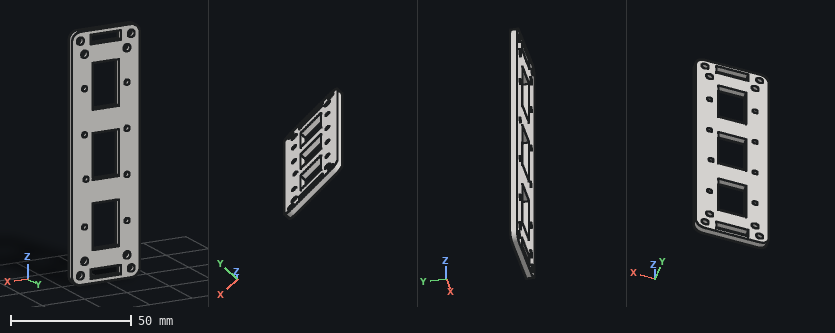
import cadquery as cq

LENGTH = 110.0
WIDTH = 32.0
THICKNESS = 3.0
CORNER_RADIUS = 4.0

WINDOW_WIDTH = 12.3
WINDOW_HEIGHT = 20.2
WINDOW_PITCH = 30.5

SLOT_WIDTH = 14.2
SLOT_HEIGHT = 4.1
END_Z = 50.9

LARGE_DIAMETER = 3.1
CORNER_HOLE_X = 12.0
INNER_HOLE_X = 10.0
INNER_HOLE_Z = 45.0

SMALL_DIAMETER = 2.2
SMALL_OUTER_Z = 30.0
SMALL_INNER_Z = 10.0
OFFSET_HOLE = (9.4, -9.4)


def mirrored(x, z):
    """Four points symmetric about both centre lines."""
    return [(sx * x, sz * z) for sx in (-1, 1) for sz in (-1, 1)]


def rectangles(points, width, height):
    """Rectangular through cutters at the given XZ points."""
    return cq.Workplane("XZ").pushPoints(points).rect(width, height).extrude(THICKNESS, both=True)


def holes(points, diameter):
    """Round through cutters at the given XZ points."""
    return cq.Workplane("XZ").pushPoints(points).circle(diameter / 2).extrude(THICKNESS, both=True)


plate = cq.Workplane("XY").box(WIDTH, THICKNESS, LENGTH).edges("|Y").fillet(CORNER_RADIUS)

window_points = [(0, row * WINDOW_PITCH) for row in (-1, 0, 1)]
slot_points = [(0, -END_Z), (0, END_Z)]
large_points = mirrored(CORNER_HOLE_X, END_Z) + mirrored(INNER_HOLE_X, INNER_HOLE_Z)
small_points = mirrored(INNER_HOLE_X, SMALL_OUTER_Z) + [
    (-INNER_HOLE_X, -SMALL_INNER_Z),
    (-INNER_HOLE_X, SMALL_INNER_Z),
    (INNER_HOLE_X, SMALL_INNER_Z),
    OFFSET_HOLE,
]

result = (
    plate.cut(rectangles(window_points, WINDOW_WIDTH, WINDOW_HEIGHT))
    .cut(rectangles(slot_points, SLOT_WIDTH, SLOT_HEIGHT))
    .cut(holes(large_points, LARGE_DIAMETER))
    .cut(holes(small_points, SMALL_DIAMETER))
)